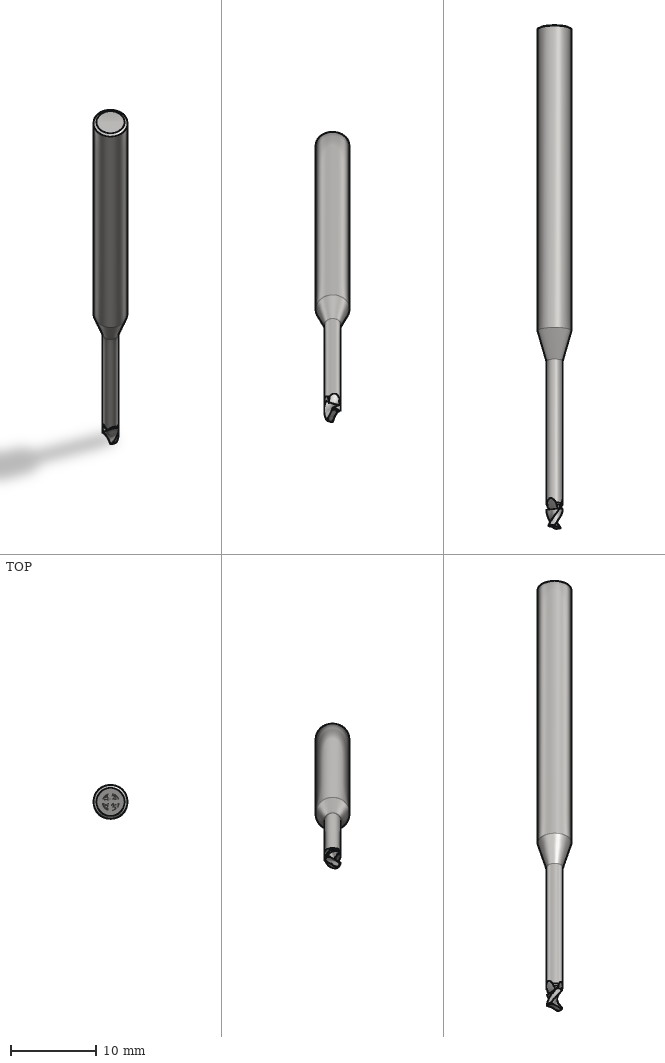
import cadquery as cq
import math

total_length = 60.0
shank_diameter = 4.0
tool_diameter = 2.0
shoulder_top = 23.65
shoulder_bottom = 20.05
top_chamfer_width = 0.35
top_chamfer_height = 0.2
relief_neck_diameter = 1.7
relief_neck_top = 2.6
neck_end = 2.8
head_height = 2.15
flute_count = 2
flute_radius = 6.0
web_thickness = 0.65
flute_twist = 90.0
runout_depth = 0.4
runout_height = 0.7
runout_radius = 1.8
runout_overrun = 8
notch_height = 1.0
notch_radius = 0.7
notch_depth = 0.35
notch_turn = 15.0
dish_height = 0.2
relief_flat = 0.35
relief_angle = 20.0
corner_chamfer = 0.1
margin = 0.3

shank_radius = shank_diameter / 2
tool_radius = tool_diameter / 2
web_radius = web_thickness / 2


def runout(angle, radius, depth, height):
    """Leaning cylinder that cuts depth at the head joint and fades out above it."""
    bottom = cq.Vector(radius + tool_radius - depth, 0, head_height)
    direction = cq.Vector(depth, 0, height)
    start = bottom - direction * runout_overrun
    cutter = cq.Solid.makeCylinder(radius, 2 * runout_overrun * direction.Length, start, direction)
    return cutter.rotate(cq.Vector(0, 0, 0), cq.Vector(0, 0, 1), angle)


def make_shank():
    """Shank, tapered shoulder and neck, with flute runouts at the lower end."""
    profile = [
        (0, head_height),
        (relief_neck_diameter / 2, head_height),
        (relief_neck_diameter / 2, relief_neck_top),
        (tool_radius, neck_end),
        (tool_radius, shoulder_bottom),
        (shank_radius, shoulder_top),
        (shank_radius, total_length - top_chamfer_height),
        (shank_radius - top_chamfer_width, total_length),
        (0, total_length),
    ]
    body = cq.Workplane("XZ").polyline(profile).close().revolve(360, (0, 0, 0), (0, 1, 0))
    body = body.rotate((0, 0, 0), (0, 0, 1), -90)
    for index in range(flute_count):
        flute_angle = -90 + flute_twist + index * 360 / flute_count
        notch_angle = -90 + notch_turn + index * 360 / flute_count
        body = body.cut(cq.Workplane(runout(flute_angle, runout_radius, runout_depth, runout_height)))
        body = body.cut(cq.Workplane(runout(notch_angle, notch_radius, notch_depth, notch_height)))
    return body


def make_head():
    """Two-flute cutting head with a dished and relieved end."""
    body = cq.Workplane("XY").circle(tool_radius).extrude(head_height)
    body = body.faces("<Z").edges().chamfer(corner_chamfer)

    for index in range(flute_count):
        angle = math.radians(-90 + index * 360 / flute_count)
        offset = web_radius + flute_radius
        flute = (
            cq.Workplane("XY")
            .moveTo(offset * math.cos(angle), offset * math.sin(angle))
            .circle(flute_radius)
            .twistExtrude(head_height, flute_twist)
        )
        body = body.cut(flute)

    dish = cq.Workplane(cq.Solid.makeCone(tool_radius - corner_chamfer, 0, dish_height))
    body = body.cut(dish)

    relief_reach = tool_radius + margin
    relief_rise = (relief_reach - relief_flat / 2) * math.tan(math.radians(relief_angle))
    for side in (-1, 1):
        relief = (
            cq.Workplane("YZ")
            .polyline([
                (side * relief_flat / 2, 0),
                (side * relief_reach, 0),
                (side * relief_reach, relief_rise),
            ])
            .close()
            .extrude(relief_reach, both=True)
        )
        body = body.cut(relief)
    return body


shank = make_shank()
head = make_head()

result = cq.Compound.makeCompound([shank.val(), head.val()])